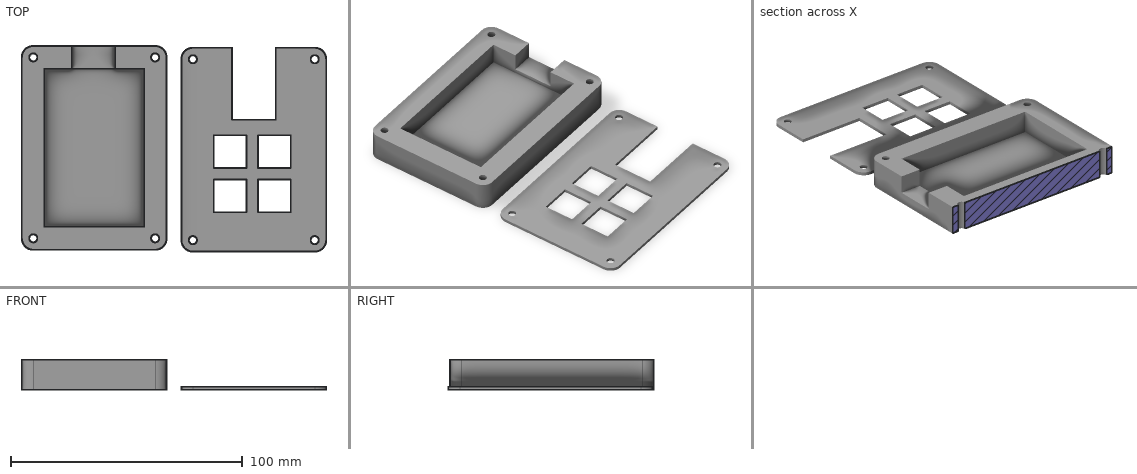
import cadquery as cq

width = 62.5
length = 88.0
corner_radius = 5.0
screw_hole_diameter = 3.4
screw_inset = corner_radius

case_height = 13.0
pocket_width = 43.0
pocket_length = 68.0
pocket_depth = 10.0
notch_width = 18.8
notch_depth = 8.0
notch_offset_x = -0.4

plate_thickness = 1.5
total_width = 131.3
plate_x = total_width - width
plate_y = -0.8
slot_width = notch_width
slot_length = 31.0
window_size = 14.0
window_pitch = 19.0
window_offset_x = -0.7
window_group_from_top = 54.4


def box_between(x_range, y_range, z_range):
    """Axis-aligned block given by its limits along X, Y and Z."""
    (x0, x1), (y0, y1), (z0, z1) = x_range, y_range, z_range
    return cq.Workplane("XY").box(x1 - x0, y1 - y0, z1 - z0, centered=False).translate((x0, y0, z0))


def rounded_slab(height):
    """Round-cornered slab with a through screw hole at each corner, lower-left corner at the origin."""
    slab = cq.Workplane("XY").box(width, length, height, centered=False)
    slab = slab.edges("|Z").fillet(corner_radius)
    holes = (
        cq.Workplane("XY")
        .center(width / 2, length / 2)
        .rect(width - 2 * screw_inset, length - 2 * screw_inset, forConstruction=True)
        .vertices()
        .circle(screw_hole_diameter / 2)
        .extrude(height)
    )
    return slab.cut(holes)


def make_case():
    """Tray with a central pocket and a shallower notch leading out through the +Y wall."""
    pocket_x = (width - pocket_width) / 2
    pocket_y = (length - pocket_length) / 2
    pocket_end_y = pocket_y + pocket_length
    pocket = box_between(
        (pocket_x, pocket_x + pocket_width),
        (pocket_y, pocket_end_y),
        (case_height - pocket_depth, case_height),
    )
    notch_x = (width - notch_width) / 2 + notch_offset_x
    notch = box_between(
        (notch_x, notch_x + notch_width),
        (pocket_end_y, length),
        (case_height - notch_depth, case_height),
    )
    return rounded_slab(case_height).cut(pocket).cut(notch)


def make_plate():
    """Thin cover with an open slot at its +Y edge and a 2 x 2 group of square windows."""
    slot_x = (width - slot_width) / 2
    slot = box_between(
        (slot_x, slot_x + slot_width),
        (length - slot_length, length),
        (0, plate_thickness),
    )
    windows = (
        cq.Workplane("XY")
        .center(width / 2 + window_offset_x, length - window_group_from_top)
        .rarray(window_pitch, window_pitch, 2, 2)
        .rect(window_size, window_size)
        .extrude(plate_thickness)
    )
    plate = rounded_slab(plate_thickness).cut(slot).cut(windows)
    return plate.translate((plate_x, plate_y, 0))


case = make_case()
plate = make_plate()

result = cq.Compound.makeCompound([case.val(), plate.val()])